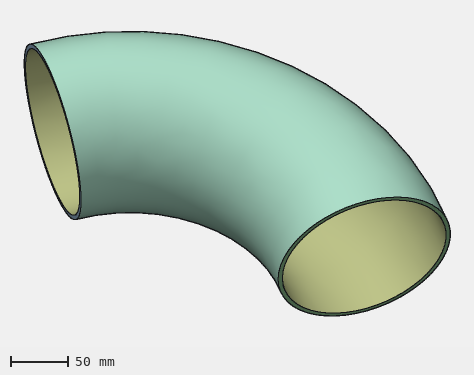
import cadquery as cq

overall_length = 295.5
outer_diameter = 159.0
inner_diameter = 151.0
bend_angle = 90.0

bend_radius = overall_length - outer_diameter / 2

ring_section = (
    cq.Workplane("XZ")
    .center(-bend_radius, 0)
    .circle(outer_diameter / 2)
    .circle(inner_diameter / 2)
)
axis_start = (bend_radius, 0)
axis_end = (bend_radius, -1)

result = ring_section.revolve(bend_angle, axis_start, axis_end)